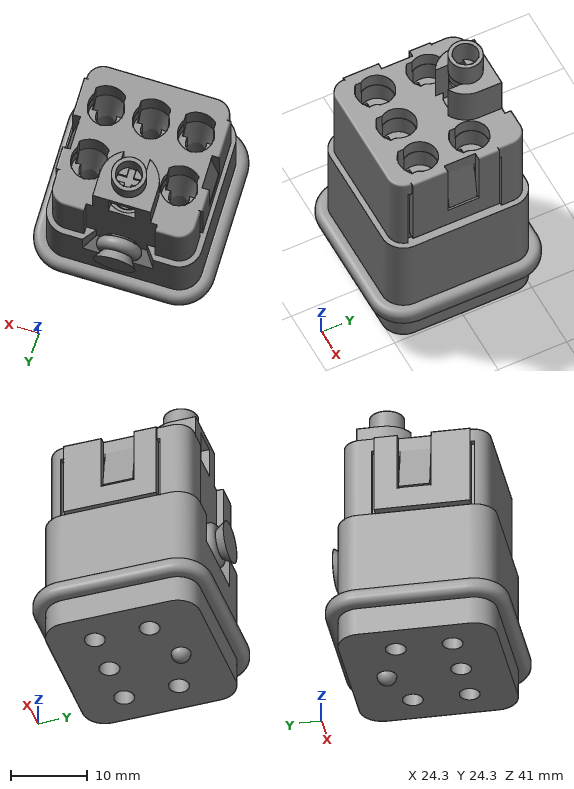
import cadquery as cq
total_height = 41.0
tip_diameter = 2.6
tip_drop = tip_diameter / 2
tube_top = total_height - tip_drop

base_width = 21.0
base_height = 18.5
base_corner = 3.08
upper_width = 19.4
upper_top = 30.75
upper_corner = base_corner - (base_width - upper_width) / 2
top_fillet = 0.3

ring_width = 24.3
ring_wall = 2.25
ring_height = 2.38
ring_fillet = 0.95
ring_middle = 5.12
ring_corner = base_corner + (ring_width - base_width) / 2

side_recess_depth = 0.75
side_recess_front = -7.87
side_recess_back = 5.75
side_recess_top = 28.75
plate_front = -7.35
plate_back = 5.35
plate_bottom = 19.48
plate_proud = 0.3
latch_width = 4.5
latch_middle = 0.05
latch_bottom = 22.45
ramp_width = 4.1
ramp_bottom = 22.75
ramp_top = side_recess_top
ramp_lip = 0.1

contact_pitch_x = 6.1
contact_back_row = 3.15
contact_front_row = -4.35
contact_bore = 2.7
cavity_diameter = 4.85
cavity_lower_diameter = 4.75
cavity_step_depth = 2.05
cavity_depth = 4.9
key_radius = 2.95
key_width = 4.0
key_offset = 0.45
key_cone_depth = 4.9

screw_y = 5.45
block_width = 7.87
block_top = 36.3
block_sink = 2.05
block_bottom = upper_top - block_sink
block_back = 8.75
slot_width = 3.55
pit_diameter = 5.9
pit_floor = 29.5
tube_diameter = 4.6
sleeve_diameter = 4.5
tube_bore = 3.5
tube_floor = block_top
core_diameter = 2.9
core_chamfer = 0.55
neck_bottom = 34.73
neck_top = 35.25
cross_hole_diameter = 3.0
cross_hole_z = 31.32
driver_width = 0.95
driver_depth = 0.6

back_screw_z = 17.18
back_screw_large = 5.7
back_screw_small = 4.0
back_screw_end = ring_width / 2
back_screw_neck = 10.82
washer_diameter = 6.05
washer_thickness = 1.85
back_recess_width = 9.65
back_recess_inner_width = 6.85
back_floor_top = 15.6
back_floor_bottom = 13.95


def block_between(x0, x1, y0, y1, z0, z1):
    return cq.Workplane("XY").box(x1 - x0, y1 - y0, z1 - z0, centered=False).translate((x0, y0, z0))


def rounded_block(width, corner, z0, z1):
    return cq.Workplane("XY", origin=(0, 0, z0)).rect(width, width).extrude(z1 - z0).edges("|Z").fillet(corner)


def upright(diameter, x, y, z0, z1):
    return cq.Workplane("XY", origin=(x, y, z0)).circle(diameter / 2).extrude(z1 - z0)


def make_ring():
    bottom = ring_middle - ring_height / 2
    top = ring_middle + ring_height / 2
    ring = rounded_block(ring_width, ring_corner, bottom, top)
    opening = rounded_block(ring_width - 2 * ring_wall, ring_corner - ring_wall, bottom, top)
    return ring.cut(opening).faces("<Z or >Z").edges().fillet(ring_fillet)


def make_housing():
    base = rounded_block(base_width, base_corner, 0, base_height)
    upper = rounded_block(upper_width, upper_corner, base_height, upper_top)
    upper = upper.faces(">Z").edges().fillet(top_fillet)
    return base.union(upper)


def make_side_recess():
    outer = upper_width / 2
    return block_between(
        -outer, side_recess_depth - outer, side_recess_front, side_recess_back, base_height, side_recess_top
    )


def make_side_plate():
    outer = upper_width / 2 + plate_proud
    inner = upper_width / 2 - side_recess_depth
    plate = block_between(-outer, -inner, plate_front, plate_back, plate_bottom, upper_top)
    plate = plate.edges("<X and >Z").fillet(top_fillet)
    ramp = (
        cq.Workplane("XZ", origin=(0, latch_middle + ramp_width / 2, 0))
        .moveTo(-inner, ramp_top)
        .lineTo(ramp_lip - outer, ramp_bottom)
        .lineTo(-inner, ramp_bottom)
        .close()
        .extrude(ramp_width)
    )
    return plate.cut(make_latch_window()).union(ramp)


def make_latch_window():
    outer = upper_width / 2 + plate_proud
    inner = upper_width / 2 - side_recess_depth
    half_width = latch_width / 2
    return block_between(
        -outer, -inner, latch_middle - half_width, latch_middle + half_width, latch_bottom, upper_top
    )


def make_cavity(x, y):
    """Stepped round cavity with a key on its front side that narrows as a cone to the bore."""
    step = upper_top - cavity_step_depth
    floor = upper_top - cavity_depth
    key_bottom = floor - key_cone_depth
    cavity = upright(contact_bore, x, y, 0, upper_top)
    cavity = cavity.union(upright(cavity_lower_diameter, x, y, floor, upper_top))
    cavity = cavity.union(upright(cavity_diameter, x, y, step, upper_top))
    funnel = (
        cq.Workplane("XZ")
        .moveTo(0, key_bottom)
        .lineTo(contact_bore / 2, key_bottom)
        .lineTo(key_radius, floor)
        .lineTo(key_radius, upper_top)
        .lineTo(0, upper_top)
        .close()
        .revolve(360, (0, 0, 0), (0, 1, 0))
        .translate((x, y, 0))
    )
    key = block_between(
        x - key_width / 2, x + key_width / 2, y - key_radius, y - key_offset, key_bottom, upper_top
    )
    return cavity.union(funnel.intersect(key))


def make_back_recess():
    """Flat recess above the shoulder and a tapered, sloping-floored one in the base below it."""
    half_outer = back_recess_width / 2
    half_inner = back_recess_inner_width / 2
    outer_y = base_width / 2
    upper = block_between(-half_outer, half_outer, block_back, outer_y, base_height, upper_top)
    lower_plan = (
        cq.Workplane("XY")
        .polyline(
            [(-half_inner, block_back), (half_inner, block_back), (half_outer, outer_y), (-half_outer, outer_y)]
        )
        .close()
        .extrude(base_height)
    )
    above_floor = (
        cq.Workplane("YZ", origin=(-half_outer, 0, 0))
        .polyline(
            [
                (block_back, back_floor_top),
                (outer_y, back_floor_bottom),
                (outer_y, base_height),
                (block_back, base_height),
            ]
        )
        .close()
        .extrude(back_recess_width)
    )
    return upper.union(lower_plan.intersect(above_floor))


def make_clamp_block():
    half_width = block_width / 2
    return (
        cq.Workplane("XY", origin=(0, 0, block_bottom))
        .moveTo(-half_width, block_back)
        .lineTo(-half_width, screw_y)
        .threePointArc((0, screw_y - half_width), (half_width, screw_y))
        .lineTo(half_width, block_back)
        .close()
        .extrude(block_top - block_bottom)
    )


def make_clamp_slot():
    half_slot = slot_width / 2
    front_end = screw_y - core_diameter / 2
    slot = block_between(-half_slot, half_slot, screw_y - block_width, front_end, upper_top, block_top)
    back_window = block_between(-half_slot, half_slot, front_end, block_back, upper_top, neck_top)
    pit = upright(pit_diameter, 0, screw_y, pit_floor, upper_top)
    pit_strip = block_between(
        -half_slot, half_slot, screw_y - pit_diameter, screw_y + pit_diameter, pit_floor, upper_top
    )
    return slot.union(back_window).union(pit.intersect(pit_strip))


def make_clamp_screw():
    """Drilled tube and sleeve with a neck between; a chamfered core shows in the cross hole."""
    core_radius = core_diameter / 2
    turned = (
        cq.Workplane("XZ")
        .moveTo(0, pit_floor)
        .lineTo(sleeve_diameter / 2, pit_floor)
        .lineTo(sleeve_diameter / 2, neck_bottom)
        .lineTo(core_radius, neck_bottom)
        .lineTo(core_radius, neck_top)
        .lineTo(sleeve_diameter / 2, neck_top)
        .lineTo(sleeve_diameter / 2, block_top)
        .lineTo(tube_diameter / 2, block_top)
        .lineTo(tube_diameter / 2, tube_top)
        .lineTo(tube_bore / 2, tube_top)
        .lineTo(tube_bore / 2, tube_floor)
        .lineTo(0, tube_floor)
        .close()
        .revolve(360, (0, 0, 0), (0, 1, 0))
    )
    core = (
        cq.Workplane("XZ")
        .moveTo(0, cross_hole_z - core_chamfer)
        .lineTo(core_radius - core_chamfer, cross_hole_z - core_chamfer)
        .lineTo(core_radius, cross_hole_z)
        .lineTo(core_radius, neck_bottom)
        .lineTo(0, neck_bottom)
        .close()
        .revolve(360, (0, 0, 0), (0, 1, 0))
    )
    cross_hole = (
        cq.Workplane("XZ", origin=(0, sleeve_diameter / 2, cross_hole_z))
        .circle(cross_hole_diameter / 2)
        .extrude(sleeve_diameter)
    )
    return turned.cut(cross_hole.cut(core)).translate((0, screw_y, 0))


def make_driver_recess():
    recess_floor = cq.Workplane("XY", origin=(0, screw_y, tube_floor - driver_depth))
    cross = recess_floor.rect(tube_bore, driver_width).extrude(driver_depth)
    cross = cross.union(recess_floor.rect(driver_width, tube_bore).extrude(driver_depth))
    return cross.intersect(recess_floor.circle(tube_bore / 2).extrude(driver_depth))


def make_back_screw():
    """Screw with a flared head; the washer rim is a full half round."""
    rim = washer_thickness / 2
    washer_back = back_screw_neck
    washer_front = washer_back - washer_thickness
    flat_radius = washer_diameter / 2 - rim
    profile = (
        cq.Workplane("XY")
        .moveTo(0, block_back)
        .lineTo(flat_radius, block_back)
        .lineTo(flat_radius, washer_front)
        .threePointArc((washer_diameter / 2, washer_front + rim), (flat_radius, washer_back))
        .lineTo(back_screw_small / 2, washer_back)
        .lineTo(back_screw_large / 2, back_screw_end)
        .lineTo(0, back_screw_end)
        .close()
    )
    return profile.revolve(360, (0, 0, 0), (0, 1, 0)).translate((0, 0, back_screw_z))


result = make_housing().cut(make_back_recess())
recess = make_side_recess()
window = make_latch_window()
plate = make_side_plate()
for cutter in (recess, window):
    result = result.cut(cutter).cut(cutter.mirror("YZ"))
result = result.union(plate).union(plate.mirror("YZ"))

result = result.union(make_clamp_block()).cut(make_clamp_slot())
result = result.union(make_clamp_screw())
result = result.cut(make_driver_recess())
result = result.union(make_back_screw())

cavity_places = [(side * contact_pitch_x, contact_front_row) for side in (-1, 0, 1)]
cavity_places += [(side * contact_pitch_x, contact_back_row) for side in (-1, 1)]
for place_x, place_y in cavity_places:
    result = result.cut(make_cavity(place_x, place_y))

result = result.union(make_ring())
result = result.union(cq.Workplane("XY").sphere(tip_diameter / 2).translate((0, screw_y, 0)))